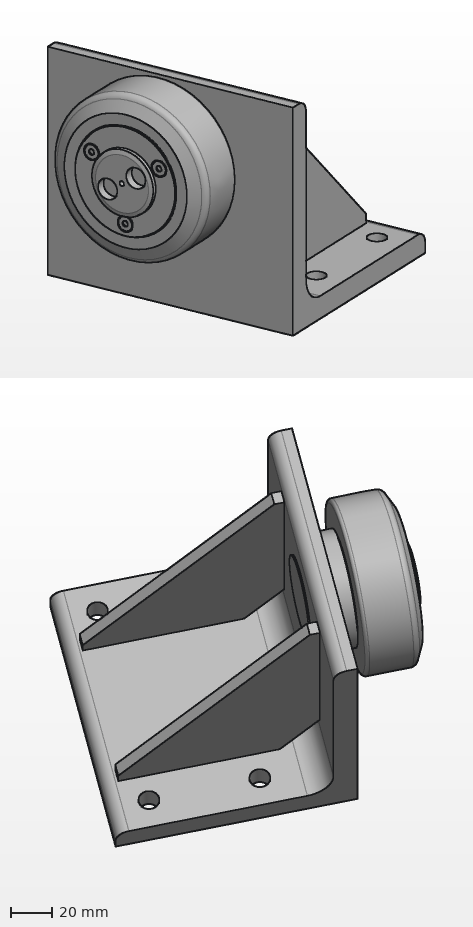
import cadquery as cq
import math

BRACKET_WIDTH = 140.0
LEG_LENGTH = 120.0
LEG_THICKNESS = 12.0
ROOT_RADIUS = 13.0
TOE_RADIUS = 6.5

MOUNT_HOLE_DIAMETER = 10.11
MOUNT_HOLE_X = 55.0
MOUNT_HOLE_ROWS_Y = (45.0, 100.0)

RIB_THICKNESS = 6.5
RIB_CENTER_X = 38.0
RIB_REACH = 100.0
RIB_END_HEIGHT = 5.0
RIB_CORNER_RELIEF = 20.0

AXIS_HEIGHT = 80.0
ROLLER_BACK = 10.0
ROLLER_FACE = 40.5
CROWN_RADIUS = 44.2
CROWN_DROP = 0.25
CROWN_START = 11.9
CROWN_END = 33.8
ROLLER_FACE_RADIUS = 35.0
CONE_RADIUS = 41.3
CONE_START = 37.3

COLLAR_DIAMETER = 59.0
COLLAR_LENGTH = 9.5
NECK_DIAMETER = 55.3
PAD_DIAMETER = 41.4
PAD_THICKNESS = 0.8

COVER_SEAT_DIAMETER = 57.8
COVER_DIAMETER = 57.0
RING_GAP_DEPTH = 1.0
COVER_FACE = 41.0

AXLE_DIAMETER = 35.0
AXLE_FACE = 44.0
AXLE_CHAMFER_RADIAL = 2.4
AXLE_CHAMFER_DEPTH = 0.7
CENTER_HOLE_DIAMETER = 2.5
CENTER_HOLE_DEPTH = 4.0
PIN_HOLE_DIAMETER = 11.0
PIN_HOLE_RADIUS = 9.3
PIN_HOLE_DEPTH = 5.0
PIN_HOLE_ANGLES = (30, 210)

SCREW_CIRCLE_RADIUS = 22.2
SCREW_ANGLES = (30, 150, 270)
SCREW_SEAT_DIAMETER = 8.6
SCREW_HEAD_DIAMETER = 7.8
SCREW_GAP_DEPTH = 1.0
SOCKET_DIAMETER = 3.0
SOCKET_DEPTH = 0.7


def disc(diameter, depth_from, depth_to, x=0.0, z=0.0):
    """Cylinder about an axis parallel to the roller axis, offset from it by x and z."""
    plane = cq.Plane(origin=(x, -depth_from, AXIS_HEIGHT + z), xDir=(1, 0, 0), normal=(0, -1, 0))
    return cq.Workplane(plane).circle(diameter / 2).extrude(depth_to - depth_from)


def polar(radius, angle):
    """Offset from the roller axis, as (x, z), at an angle in degrees from +X."""
    return radius * math.cos(math.radians(angle)), radius * math.sin(math.radians(angle))


def make_angle():
    profile = (
        cq.Workplane("YZ")
        .polyline([
            (0, 0),
            (LEG_LENGTH, 0),
            (LEG_LENGTH, LEG_THICKNESS),
            (LEG_THICKNESS, LEG_THICKNESS),
            (LEG_THICKNESS, LEG_LENGTH),
            (0, LEG_LENGTH),
        ])
        .close()
        .extrude(BRACKET_WIDTH / 2, both=True)
    )
    inner_corner = cq.selectors.NearestToPointSelector((0, LEG_THICKNESS, LEG_THICKNESS))
    leg_toe = cq.selectors.NearestToPointSelector((0, LEG_LENGTH, LEG_THICKNESS))
    plate_toe = cq.selectors.NearestToPointSelector((0, LEG_THICKNESS, LEG_LENGTH))
    angle = profile.edges(inner_corner).fillet(ROOT_RADIUS)
    angle = angle.edges(leg_toe).fillet(TOE_RADIUS)
    angle = angle.edges(plate_toe).fillet(TOE_RADIUS)
    hole_centers = [(side * MOUNT_HOLE_X, y) for side in (-1, 1) for y in MOUNT_HOLE_ROWS_Y]
    holes = (
        cq.Workplane("XY")
        .pushPoints(hole_centers)
        .circle(MOUNT_HOLE_DIAMETER / 2)
        .extrude(LEG_THICKNESS)
    )
    return angle.cut(holes)


def make_rib(center_x):
    inner = LEG_THICKNESS
    outer = LEG_THICKNESS + RIB_REACH
    relief = inner + RIB_CORNER_RELIEF
    end = inner + RIB_END_HEIGHT
    return (
        cq.Workplane("YZ", origin=(center_x, 0, 0))
        .polyline([(relief, inner), (outer, inner), (outer, end), (end, outer), (inner, outer), (inner, relief)])
        .close()
        .extrude(RIB_THICKNESS / 2, both=True)
    )


def make_roller():
    """Crowned roller, revolved about its axis; the profile is in (radius, depth)."""
    edge_radius = CROWN_RADIUS - CROWN_DROP
    back_round = CROWN_START - ROLLER_BACK
    plane = cq.Plane(origin=(0, 0, AXIS_HEIGHT), xDir=(1, 0, 0), normal=(0, 0, 1))
    return (
        cq.Workplane(plane)
        .moveTo(0, -ROLLER_BACK)
        .lineTo(edge_radius - back_round, -ROLLER_BACK)
        .tangentArcPoint((edge_radius, -CROWN_START), relative=False)
        .threePointArc((CROWN_RADIUS, -(CROWN_START + CROWN_END) / 2), (edge_radius, -CROWN_END))
        .tangentArcPoint((CONE_RADIUS, -CONE_START), relative=False)
        .lineTo(ROLLER_FACE_RADIUS, -ROLLER_FACE)
        .lineTo(0, -ROLLER_FACE)
        .close()
        .revolve(360, (0, 0, 0), (0, 1, 0))
    )


def make_axle_end():
    base_radius = AXLE_DIAMETER / 2
    tip_radius = base_radius - AXLE_CHAMFER_RADIAL
    plane = cq.Plane(origin=(0, 0, AXIS_HEIGHT), xDir=(1, 0, 0), normal=(0, 0, 1))
    return (
        cq.Workplane(plane)
        .polyline([
            (0, -ROLLER_FACE),
            (base_radius, -ROLLER_FACE),
            (base_radius, -AXLE_FACE + AXLE_CHAMFER_DEPTH),
            (tip_radius, -AXLE_FACE),
            (0, -AXLE_FACE),
        ])
        .close()
        .revolve(360, (0, 0, 0), (0, 1, 0))
    )


def cut_axle_holes(body):
    body = body.cut(disc(CENTER_HOLE_DIAMETER, AXLE_FACE - CENTER_HOLE_DEPTH, AXLE_FACE))
    for angle in PIN_HOLE_ANGLES:
        x, z = polar(PIN_HOLE_RADIUS, angle)
        body = body.cut(disc(PIN_HOLE_DIAMETER, AXLE_FACE - PIN_HOLE_DEPTH, AXLE_FACE, x, z))
    return body


def cut_screws(body):
    """Flush screw heads: a ring gap around each head and a socket in it."""
    for angle in SCREW_ANGLES:
        x, z = polar(SCREW_CIRCLE_RADIUS, angle)
        gap_floor = COVER_FACE - SCREW_GAP_DEPTH
        seat = disc(SCREW_SEAT_DIAMETER, gap_floor, COVER_FACE, x, z)
        head = disc(SCREW_HEAD_DIAMETER, gap_floor, COVER_FACE, x, z)
        body = body.cut(seat.cut(head))
        body = body.cut(disc(SOCKET_DIAMETER, COVER_FACE - SOCKET_DEPTH, COVER_FACE, x, z))
    return body


def make_roller_unit():
    gap_floor = ROLLER_FACE - RING_GAP_DEPTH
    unit = make_roller().cut(disc(COVER_SEAT_DIAMETER, gap_floor, ROLLER_FACE))
    unit = unit.union(disc(COVER_DIAMETER, gap_floor, COVER_FACE))
    unit = cut_screws(unit)
    unit = cut_axle_holes(unit.union(make_axle_end()))
    unit = unit.union(disc(NECK_DIAMETER, 0, ROLLER_BACK))
    return unit.union(disc(COLLAR_DIAMETER, 0, COLLAR_LENGTH))


result = make_angle()
for side in (-1, 1):
    result = result.union(make_rib(side * RIB_CENTER_X))
result = result.union(disc(PAD_DIAMETER, -LEG_THICKNESS - PAD_THICKNESS, -LEG_THICKNESS))
result = result.union(make_roller_unit())